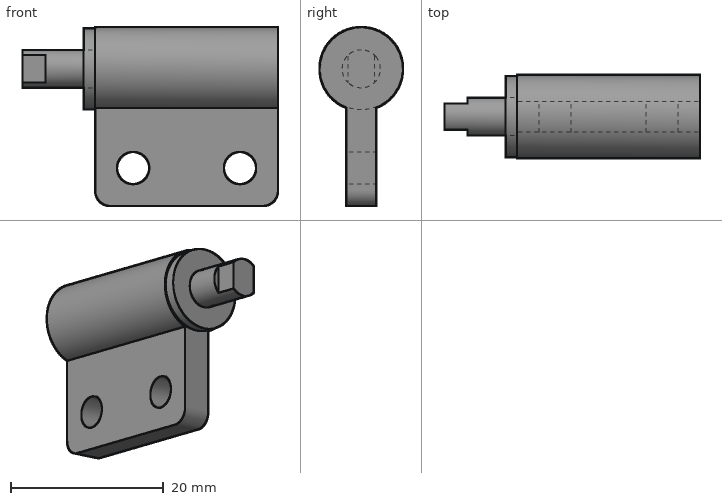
import cadquery as cq


overall_length = 33.5

barrel_length = 24.0
barrel_diameter = 11.0
plate_thickness = 4.0
plate_drop = 18.0
plate_corner_radius = 2.0

hole_diameter = 4.2
hole_end_distance = 5.0
hole_drop = 13.0

cap_length = 1.5
cap_diameter = 10.7

shaft_projection = overall_length - barrel_length - cap_length
shaft_diameter = 5.0
flat_length = 3.0
width_across_flats = 3.5


def cylinder_along_x(start, length, diameter):
    return cq.Workplane("YZ", origin=(start, 0, 0)).circle(diameter / 2).extrude(length)


def make_plate():
    """Plate hanging from the barrel axis, with rounded lower corners and two through holes."""
    plate = (
        cq.Workplane("XY")
        .box(barrel_length, plate_thickness, plate_drop, centered=(False, True, False))
        .translate((0, 0, -plate_drop))
        .edges("|Y and <Z")
        .fillet(plate_corner_radius)
    )
    hole_centres = [
        (hole_end_distance, -hole_drop),
        (barrel_length - hole_end_distance, -hole_drop),
    ]
    holes = (
        cq.Workplane("XZ")
        .pushPoints(hole_centres)
        .circle(hole_diameter / 2)
        .extrude(plate_thickness / 2, both=True)
    )
    return plate.cut(holes)


def make_housing():
    """Solid barrel and its mounting plate in one piece."""
    return cylinder_along_x(0, barrel_length, barrel_diameter).union(make_plate())


def make_cap():
    """Ring against the barrel end, bored to fit the shaft."""
    ring = cylinder_along_x(-cap_length, cap_length, cap_diameter)
    bore = cylinder_along_x(-cap_length, cap_length, shaft_diameter)
    return ring.cut(bore)


def make_shaft():
    """Round shaft that passes through the cap, with two parallel flats at its free end."""
    shaft_length = shaft_projection + cap_length
    tip = -shaft_length
    shaft = cylinder_along_x(tip, shaft_length, shaft_diameter)
    flatted_end = cylinder_along_x(tip, flat_length, shaft_diameter)
    between_flats = cq.Workplane("XY", origin=(tip, 0, 0)).box(
        flat_length, width_across_flats, shaft_diameter, centered=(False, True, True)
    )
    return shaft.cut(flatted_end.cut(between_flats))


housing = make_housing()
cap = make_cap()
shaft = make_shaft()

result = cq.Compound.makeCompound([housing.val(), cap.val(), shaft.val()])